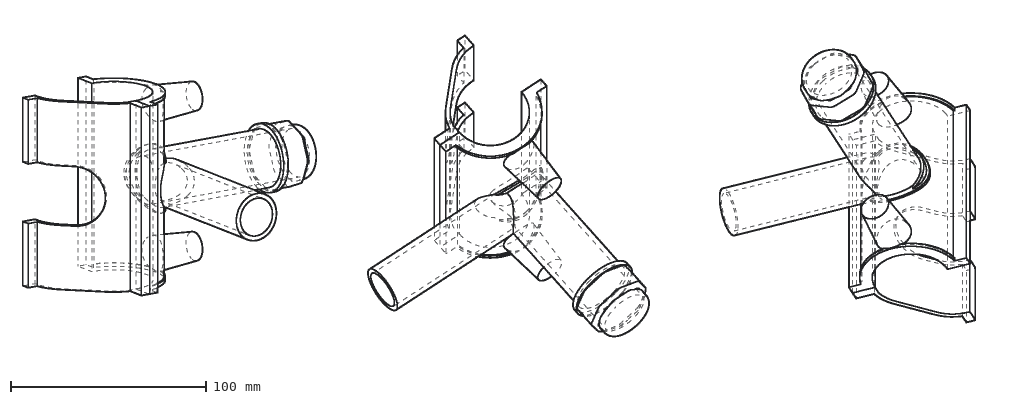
import cadquery as cq
import math


clamp_length = 100.0
saddle_bore_radius = 20.0
saddle_outer_radius = 25.8
rim_radius = 26.5
rim_width = 2.0
flange_half_width = 32.5
flange_thickness = 5.0

strap_inner_radius = 20.6
strap_thickness = 2.5
strap_outer_radius = strap_inner_radius + strap_thickness
hook_bend_offset = 16.2
hook_left = -17.5
hook_width = 5.0
hook_height = 7.6
slot_width = 31.7

tube_radius = 15.3
tube_bore_radius = 12.59
pad_radius = 18.0
pad_top_radius = 27.0
boss_radius = 16.9
boss_top = 24.7
collar_bottom = 93.2
nut_bottom = 96.1
nut_shoulder = 108.3
nut_top = 110.8
cap_top = 117.9

collar_radius = 18.0
nut_sides = 8
nut_corner_radius = 17.9
nut_edge_radius = 4.0
cap_radius = 14.37
cap_edge_radius = 4.0
cap_wall = 5.0

branch_radius = 12.5
branch_bore_radius = 9.99
branch_axis_y = 27.0
branch_end = 90.0

peg_spacing = 79.9
peg_base = 20.0
peg_top = 50.0
peg_base_radius = 9.99
peg_top_radius = 7.6


def cylinder_y(radius, start, end):
    """Cylinder about the Y axis between two Y positions."""
    return cq.Workplane("XZ", origin=(0, start, 0)).circle(radius).extrude(start - end)


def cylinder_x(radius, start, end):
    """Cylinder along X on the branch axis."""
    return cq.Workplane("YZ", origin=(start, branch_axis_y, 0)).circle(radius).extrude(end - start)


def cylinder_z(radius, length):
    """Cylinder about the Z axis, centred on the origin."""
    return cq.Workplane("XY", origin=(0, 0, -length / 2)).circle(radius).extrude(length)


def block_above_joint():
    """Block that covers the round shell on the saddle side of the joint plane."""
    return cq.Workplane("XY").box(
        2 * flange_half_width, flange_half_width, clamp_length, centered=(True, False, True)
    )


def make_saddle_shell():
    """Half ring with a raised rim at both ends and a flange on each side."""
    shell = cylinder_z(saddle_outer_radius, clamp_length)
    rims = cylinder_z(rim_radius, clamp_length).cut(
        cylinder_z(rim_radius, clamp_length - 2 * rim_width)
    )
    shell = shell.union(rims).intersect(block_above_joint())
    flanges = cq.Workplane("XY").box(
        2 * flange_half_width, flange_thickness, clamp_length, centered=(True, False, True)
    )
    return shell.union(flanges)


def make_pad():
    """Round pad that follows the saddle, with a flat-topped boss around the tube."""
    pad = cylinder_y(pad_radius, 0, pad_top_radius).intersect(
        cylinder_z(pad_top_radius, clamp_length)
    )
    return pad.union(cylinder_y(boss_radius, 0, boss_top))


def make_nut():
    """Octagonal nut with rounded corners and a chamfered outer end."""
    return (
        cq.Workplane("XZ", origin=(0, nut_bottom, 0))
        .polygon(nut_sides, 2 * nut_corner_radius)
        .extrude(nut_bottom - nut_top)
        .edges("|Y")
        .fillet(nut_edge_radius)
        .faces(">Y")
        .chamfer(nut_top - nut_shoulder)
    )


def make_cap():
    """Round cap with a rounded outer edge."""
    return cylinder_y(cap_radius, nut_shoulder, cap_top).faces(">Y").edges().fillet(cap_edge_radius)


def make_peg(z):
    """Tapered peg that stands on the saddle at height z."""
    return (
        cq.Workplane("XZ", origin=(0, peg_base, z))
        .circle(peg_base_radius)
        .workplane(offset=peg_base - peg_top)
        .circle(peg_top_radius)
        .loft(combine=True)
    )


def make_saddle():
    """Saddle with its main tube, nut, cap, branch tube and pegs, all one body."""
    body = make_saddle_shell().union(make_pad())
    body = body.union(cylinder_y(tube_radius, 0, nut_shoulder))
    body = body.union(cylinder_y(collar_radius, collar_bottom, nut_bottom))
    body = body.union(make_nut()).union(make_cap())
    body = body.union(cylinder_x(branch_radius, 0, branch_end))
    for z in (-peg_spacing / 2, peg_spacing / 2):
        body = body.union(make_peg(z))
    body = body.cut(cylinder_z(saddle_bore_radius, clamp_length))
    body = body.cut(cylinder_y(tube_bore_radius, 0, cap_top - cap_wall))
    return body.cut(cylinder_x(branch_bore_radius, 0, branch_end))


def make_strap_band():
    """Strap profile: flange, bend round the pipe, straight run at 45 degrees, bend and hook."""
    strap_slope = math.radians(45)
    inner = strap_inner_radius
    outer = strap_outer_radius
    hook_top = -hook_bend_offset - inner
    hook_right = hook_left + hook_width
    flange_inner_angle = math.asin(flange_thickness / inner)
    flange_inner_x = inner * math.cos(flange_inner_angle)
    flange_outer_angle = math.asin(flange_thickness / outer)
    hook_corner_angle = math.asin((hook_right + hook_bend_offset) / outer)

    def on_pipe_bend(radius, angle_below_x):
        return (radius * math.cos(angle_below_x), -radius * math.sin(angle_below_x))

    def on_hook_bend(radius, angle_from_down):
        return (
            -hook_bend_offset + radius * math.sin(angle_from_down),
            -hook_bend_offset - radius * math.cos(angle_from_down),
        )

    return (
        cq.Workplane("XY", origin=(0, 0, -clamp_length / 2))
        .moveTo(flange_inner_x, 0)
        .lineTo(flange_inner_x, -flange_thickness)
        .threePointArc(
            on_pipe_bend(inner, (flange_inner_angle + strap_slope) / 2), on_pipe_bend(inner, strap_slope)
        )
        .lineTo(*on_hook_bend(inner, strap_slope))
        .threePointArc(on_hook_bend(inner, strap_slope / 2), (-hook_bend_offset, hook_top))
        .lineTo(hook_left, hook_top)
        .lineTo(hook_left, hook_top - hook_height)
        .lineTo(hook_right, hook_top - hook_height)
        .lineTo(*on_hook_bend(outer, hook_corner_angle))
        .threePointArc(
            on_hook_bend(outer, (hook_corner_angle + strap_slope) / 2), on_hook_bend(outer, strap_slope)
        )
        .lineTo(*on_pipe_bend(outer, strap_slope))
        .threePointArc(
            on_pipe_bend(outer, (flange_outer_angle + strap_slope) / 2),
            on_pipe_bend(outer, flange_outer_angle),
        )
        .lineTo(flange_half_width, -flange_thickness)
        .lineTo(flange_half_width, 0)
        .close()
        .extrude(clamp_length)
    )


def make_strap_slot():
    """Round-ended slot cut square to the straight run and open through the hook."""
    slot_reach = 2 * flange_half_width
    slot_radius = slot_width / 2
    across_strap = cq.Plane(origin=(0, 0, 0), xDir=(-1, -1, 0), normal=(1, -1, 0))
    return (
        cq.Workplane(across_strap)
        .moveTo(slot_reach, -slot_radius)
        .lineTo(slot_radius, -slot_radius)
        .threePointArc((0, 0), (slot_radius, slot_radius))
        .lineTo(slot_reach, slot_radius)
        .close()
        .extrude(slot_reach)
    )


saddle = make_saddle()
strap = make_strap_band().cut(make_strap_slot())

result = cq.Compound.makeCompound([saddle.val(), strap.val()])